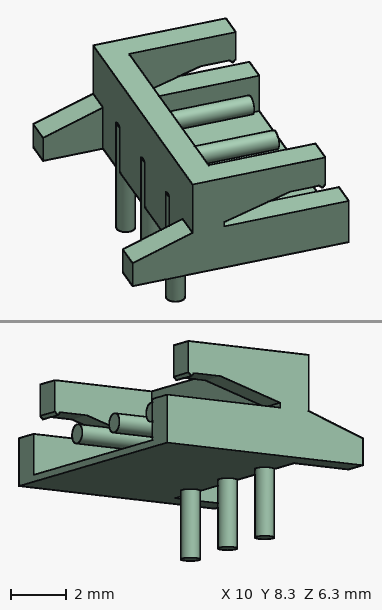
import cadquery as cq


width = 10.0
height = 3.8
base_depth = 6.0
wall = 1.0
floor_thickness = 0.25
base_top = 1.75

arm_end = 5.1
arm_underside = 2.65
slot_ramp_start = 3.75
slot_end = 1.22
slot_end_top = 1.93
nub_width = 0.24
nub_height = 0.12

foot_length = 2.3
foot_tip_height = 0.98

pin_count = 3
pin_pitch = 2.5
pin_radius = 0.35
pin_axis_y = 0.3
pin_axis_z = 1.6
pin_tail = 2.5


def make_side(start_x):
    """Side plate with its foot, slot, arm and latch nub."""
    outline = [
        (-foot_length, 0),
        (base_depth, 0),
        (base_depth, base_top),
        (slot_end, base_top),
        (slot_end, slot_end_top),
        (slot_ramp_start, arm_underside),
        (arm_end - nub_width, arm_underside),
        (arm_end - nub_width / 2, arm_underside - nub_height),
        (arm_end, arm_underside),
        (arm_end, height),
        (0, height),
        (0, base_top),
        (-foot_length, foot_tip_height),
    ]
    plane = cq.Workplane("YZ", origin=(start_x, 0, 0))
    return plane.polyline(outline).close().extrude(wall)


def make_pin(x):
    """Round pin with a mitred right-angle bend, from the tail up and back."""
    path = cq.Workplane("YZ", origin=(x, 0, 0)).polyline(
        [(pin_axis_y, -pin_tail), (pin_axis_y, pin_axis_z), (arm_end, pin_axis_z)]
    )
    section = cq.Workplane("XY", origin=(x, pin_axis_y, -pin_tail)).circle(pin_radius)
    return section.sweep(path, transition="right")


front_wall = cq.Workplane("XY").box(width, wall, height, centered=(True, False, False))
floor = cq.Workplane("XY").box(
    width, base_depth, floor_thickness, centered=(True, False, False)
)
result = front_wall.union(floor)

for side_x in (-width / 2, width / 2 - wall):
    result = result.union(make_side(side_x))

for index in range(pin_count):
    pin_x = (index - (pin_count - 1) / 2) * pin_pitch
    result = result.union(make_pin(pin_x))